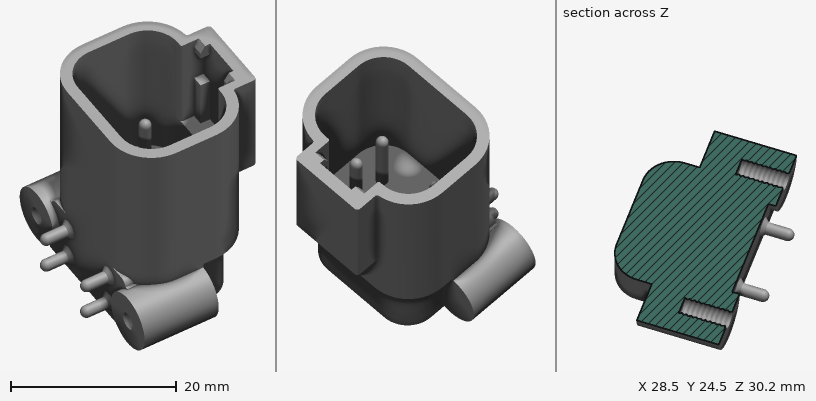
import cadquery as cq
import math

total_height = 30.2
shell_width = 21.45
shell_depth = 17.2
shell_radius = 5.8
shell_bottom = 8.88
wall = 1.5
cavity_floor = shell_bottom + wall

key_width = 10.65
key_back = 20.55
key_bottom = 15.5
key_corner_radius = 0.48
key_root_radius = 0.35
pocket_width = 8.3
pocket_back = 18.88
pocket_floor = key_bottom + key_back - pocket_back
pocket_mouth_radius = 0.25
rib_width = 1.48
rib_front = 17.55
rib_top = 23.75
lug_bottom = 28.4
lug_chamfer_depth = 0.65
lug_chamfer_height = 1.0

base_width = 17.58
base_depth = 15.43
base_back_radius = 3.95
base_top_width = 16.85
base_top_radius = 1.1
ledge_z = 8.03

mount_diameter = 7.67
mount_spacing = 20.8
mount_z = 4.47
mount_front = -0.95
mount_back = 9.57
thread_major = 2.3
thread_minor = 1.95
thread_depth = 6.05
thread_pitch = 0.6

pin_diameter = 1.57
pin_radius = pin_diameter / 2
pin_spacing_x = 9.15
pin_pitch = 4.45
pin_low_z = 2.25
pin_front_y = 6.4
pin_tip_y = -3.95
pin_tail_root_y = 1.5
pin_top = 19.63
collar_diameter = 2.6
collar_length = 0.5


def block(x_center, width, y_front, y_back, z_bottom, z_top):
    size = (width, y_back - y_front, z_top - z_bottom)
    box = cq.Workplane("XY").box(*size, centered=(True, False, False))
    return box.translate((x_center, y_front, z_bottom))


def rounded_prism(inset, z_bottom):
    """Shell outline moved inward by inset, from z_bottom to the rim."""
    prism = block(0, shell_width - 2 * inset, inset, shell_depth - inset, z_bottom, total_height)
    return prism.edges("|Z").fillet(shell_radius - inset)


def outer_shell():
    key = block(0, key_width, shell_depth / 2, key_back, key_bottom, total_height)
    key = key.edges("|Z and >Y").fillet(key_corner_radius)
    shell = rounded_prism(0, shell_bottom).union(key)
    corner_x = key_width / 2 - (shell_width / 2 - shell_radius)
    root_y = shell_depth - shell_radius + math.sqrt(shell_radius**2 - corner_x**2)
    for side in (-1, 1):
        root = (side * key_width / 2, root_y, (key_bottom + total_height) / 2)
        shell = shell.edges(cq.selectors.NearestToPointSelector(root)).fillet(key_root_radius)
    return shell


def cavity():
    pocket = block(0, pocket_width, shell_depth / 2, pocket_back, pocket_floor, total_height)
    space = rounded_prism(wall, cavity_floor).union(pocket)
    for side in (-1, 1):
        mouth = (side * pocket_width / 2, shell_depth - wall, (pocket_floor + total_height) / 2)
        space = space.edges(cq.selectors.NearestToPointSelector(mouth)).fillet(pocket_mouth_radius)
    return space


def keyway_ribs(side):
    """Corner rib of the keyway and the chamfered lug above it."""
    x = side * (pocket_width - rib_width) / 2
    rib = block(x, rib_width, rib_front, pocket_back, pocket_floor, rib_top)
    lug = (
        cq.Workplane("YZ")
        .moveTo(rib_front, lug_bottom)
        .lineTo(pocket_back, lug_bottom)
        .lineTo(pocket_back, total_height)
        .lineTo(rib_front + lug_chamfer_depth, total_height)
        .lineTo(rib_front, total_height - lug_chamfer_height)
        .close()
        .extrude(rib_width / 2, both=True)
        .translate((x, 0, 0))
    )
    return rib.union(lug)


def base():
    outline = block(0, base_width, 0, base_depth, 0, shell_bottom)
    outline = outline.edges("|Z and >Y").fillet(base_back_radius)
    back = outline.intersect(block(0, base_width, mount_back, base_depth, 0, shell_bottom))
    front = block(0, base_width, 0, mount_back, 0, ledge_z)
    rounded_top = block(0, base_top_width, 0, mount_back, 0, shell_bottom)
    rounded_top = rounded_top.edges("|Y and >Z").fillet(base_top_radius)
    return back.union(front).union(rounded_top)


def mount_webs():
    """Shell wall carried down to the mounting cylinders."""
    web = rounded_prism(0, mount_z)
    return web.intersect(block(0, shell_width, 0, mount_back, mount_z, shell_bottom))


def mount(side):
    plane = cq.Workplane("XZ", origin=(side * mount_spacing / 2, mount_back, mount_z))
    return plane.circle(mount_diameter / 2).extrude(mount_back - mount_front)


def threaded_hole(side):
    """Blind hole with ring-shaped thread grooves, open at the front."""
    profile = cq.Workplane("XY").moveTo(0, 0).lineTo(thread_major / 2, 0)
    for turn in range(round(thread_depth / thread_pitch)):
        start = turn * thread_pitch
        profile = profile.lineTo(thread_minor / 2, start + thread_pitch / 2)
        profile = profile.lineTo(thread_major / 2, start + thread_pitch)
    hole = profile.lineTo(0, thread_depth).close().revolve(360, (0, 0, 0), (0, 1, 0))
    return hole.translate((side * mount_spacing / 2, mount_front, mount_z))


def round_pin(length):
    """Pin along +Z with a hemispherical tip, starting at the origin."""
    shoulder = length - pin_radius
    diagonal = pin_radius * math.sqrt(0.5)
    return (
        cq.Workplane("XZ")
        .lineTo(pin_radius, 0)
        .lineTo(pin_radius, shoulder)
        .threePointArc((diagonal, shoulder + diagonal), (0, length))
        .close()
        .revolve(360, (0, 0, 0), (0, 1, 0))
    )


def contact(x, row):
    tail_z = pin_low_z + row * pin_pitch
    tail = round_pin(pin_tail_root_y - pin_tip_y).rotate((0, 0, 0), (1, 0, 0), 90)
    tail = tail.translate((x, pin_tail_root_y, tail_z))
    collar = (
        cq.Workplane("XZ", origin=(x, 0, tail_z))
        .circle(collar_diameter / 2)
        .workplane(offset=collar_length)
        .circle(pin_radius)
        .loft(ruled=True)
    )
    upright = round_pin(pin_top - shell_bottom).translate((x, pin_front_y + row * pin_pitch, shell_bottom))
    return tail.union(collar).union(upright)


result = outer_shell().union(base()).union(mount_webs())
for side in (-1, 1):
    result = result.union(mount(side))
result = result.cut(cavity())
for side in (-1, 1):
    result = result.union(keyway_ribs(side)).cut(threaded_hole(side))
    for row in (0, 1):
        result = result.union(contact(side * pin_spacing_x / 2, row))